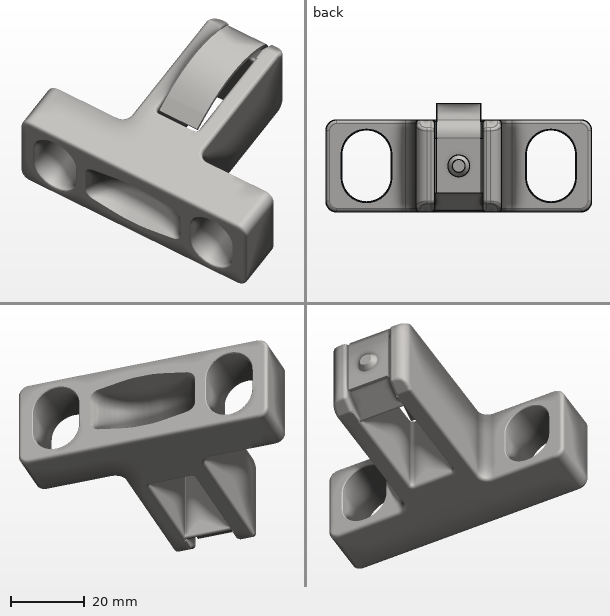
import cadquery as cq
import math


block_length = 72.0
block_depth = 15.0
height = 25.0
stem_width = 23.05
stem_end = 60.0
corner_radius = 2.95
edge_radius = 1.0
top = height / 2

pick_margin = 0.1

slope_drop = 2.45
slope_run = 3.6
slope = slope_drop / slope_run

oval_spacing = 50.0
oval_width = 13.3
oval_height = 19.45
oval_chamfer = 0.2
oval_chamfer_degrees = 45

recess_half_opening = 15.2
recess_half_flat = 1.95
recess_bow_radius = 13.25
recess_bow_angle = math.radians(69.0)
recess_half_floor = 3.5
recess_floor_radius = 2.9
recess_draft = math.radians(10.5)
recess_overrun = 2.15
recess_bow_clearance = 0.65

slot_width = 13.1
slot_start = 22.25
slot_corner_radius = 1.0
bridge_front = 51.05
bridge_corner_radius = 0.3
bridge_edge_radius = 0.5

collar_start = 52.1
collar_end = 55.7

strap_width = 12.0
strap_thickness = 1.15
strap_back = 59.7
strap_tip = 23.05
arch_radius = 32.0
arch_centre_y = 40.5
arch_rise = 4.5
arch_front_angle = math.radians(24.6)
arch_back_angle = math.radians(31.0)
head_base_diameter = 5.9
head_end_diameter = 3.45
head_height = 1.4

bridge_back = strap_back - strap_thickness
bridge_half_back = top - slope * (bridge_back - bridge_front)


def point_on_circle(centre, radius, angle):
    """Point at an angle measured from straight up, towards the first axis."""
    return (centre[0] + radius * math.sin(angle), centre[1] + radius * math.cos(angle))


def make_block():
    return (
        cq.Workplane("XZ")
        .rect(block_length, height)
        .extrude(-block_depth)
        .edges("|Y")
        .fillet(corner_radius)
    )


def make_stem():
    root = block_depth / 2
    slope_start = stem_end - slope_run
    side_outline = [
        (root, -top),
        (slope_start, -top),
        (stem_end, slope_drop - top),
        (stem_end, top - slope_drop),
        (slope_start, top),
        (root, top),
    ]
    return (
        cq.Workplane("YZ")
        .polyline(side_outline)
        .close()
        .extrude(stem_width / 2, both=True)
        .faces(">Y")
        .edges("|Z")
        .fillet(corner_radius)
    )


def edges_near(body, half_width, from_y, to_y):
    """Edges centred within a range of X and Y, with the picking margin added."""
    side = half_width + pick_margin
    low = (-side, from_y - pick_margin, -height)
    high = (side, to_y + pick_margin, height)
    return body.edges(cq.selectors.BoxSelector(low, high))


def make_tee():
    body = make_block().union(make_stem())
    inner_corners = edges_near(body, stem_width / 2, block_depth, block_depth)
    body = inner_corners.edges("|Z").fillet(corner_radius)
    return body.faces("<Y or >Y or <Z or >Z").edges("not |Z").fillet(edge_radius)


def make_slot():
    slot_length = 2 * (stem_end - slot_start)
    return (
        cq.Workplane("XY")
        .center(0, slot_start + slot_length / 2)
        .rect(slot_width, slot_length)
        .extrude(height, both=True)
        .edges("|Z")
        .fillet(slot_corner_radius)
    )


def cut_slot(body):
    """Cut the slot and round its rim above, below and at the open end."""
    body = body.cut(make_slot())
    slot_edges = edges_near(body, slot_width / 2, slot_start, stem_end)
    rim = [edge for edge in slot_edges.vals() if edge.BoundingBox().zlen < height - pick_margin]
    return body.newObject(rim).fillet(edge_radius)


def make_bridge():
    """Bar across the slot, sloped above and below; its ends reach into the walls past the rounded rim."""
    half_width = slot_width / 2 + edge_radius
    outline = [
        (bridge_front, -top),
        (bridge_back, -bridge_half_back),
        (bridge_back, bridge_half_back),
        (bridge_front, top),
    ]
    return (
        cq.Workplane("YZ")
        .polyline(outline)
        .close()
        .extrude(half_width, both=True)
        .faces("<Y")
        .edges("|X")
        .fillet(bridge_edge_radius)
    )


def add_collars(body):
    """Square up the wide slot rim beside the bridge and round it again with the smaller radius."""
    inner = slot_width / 2
    collar = (
        cq.Workplane("XY")
        .box(edge_radius, collar_end - collar_start, edge_radius, centered=False)
        .edges("|Y and <X and >Z")
        .fillet(bridge_edge_radius)
        .translate((inner, collar_start, top - edge_radius))
    )
    pair = collar.union(collar.mirror("YZ"))
    return body.union(pair).union(pair.mirror("XY"))


def round_bridge_corners(body):
    corners = edges_near(body, slot_width / 2, bridge_front, bridge_front)
    return corners.edges("|Z").fillet(bridge_corner_radius)


def cut_ovals(body):
    """Cut the oval holes and widen both ends of each by the chamfer."""

    def oval_prisms(start_y, length, margin, taper):
        return (
            cq.Workplane("XZ", origin=(0, start_y, 0))
            .pushPoints([(-oval_spacing / 2, 0), (oval_spacing / 2, 0)])
            .slot2D(oval_height + 2 * margin, oval_width + 2 * margin, 90)
            .extrude(length, taper=taper)
        )

    through = oval_prisms(block_depth, block_depth, 0, 0)
    front_mouth = oval_prisms(0, -oval_chamfer, oval_chamfer, oval_chamfer_degrees)
    back_mouth = oval_prisms(block_depth, oval_chamfer, oval_chamfer, oval_chamfer_degrees)
    return body.cut(through).cut(front_mouth).cut(back_mouth)


def make_recess():
    angle = recess_bow_angle
    arc_half_length = recess_half_flat + recess_bow_radius * math.sin(angle)
    end_depth = (recess_half_opening - arc_half_length) * math.tan(angle)
    bow_centre_y = end_depth - recess_bow_radius * math.cos(angle)

    def bow_point(side, at):
        x, y = point_on_circle((recess_half_flat, bow_centre_y), recess_bow_radius, at)
        return (side * x, y)

    end_x = recess_half_opening + recess_overrun * math.cos(angle)
    end_y = -recess_overrun * math.sin(angle)
    path = (
        cq.Workplane("XY")
        .moveTo(-end_x, end_y)
        .lineTo(*bow_point(-1, angle))
        .threePointArc(bow_point(-1, angle / 2), bow_point(-1, 0))
        .lineTo(*bow_point(1, 0))
        .threePointArc(bow_point(1, angle / 2), bow_point(1, angle))
        .lineTo(end_x, end_y)
    )

    section_depth = recess_bow_radius - recess_bow_clearance
    corner_turn = math.pi / 2 - recess_draft

    def corner_point(side, turn):
        depth = recess_floor_radius * (1 - math.cos(turn))
        return (depth, side * (recess_half_floor + recess_floor_radius * math.sin(turn)))

    wall_foot = corner_point(1, corner_turn)
    half_mouth = wall_foot[1] + (section_depth - wall_foot[0]) * math.tan(recess_draft)
    section_plane = cq.Plane(
        origin=(-end_x, end_y, 0),
        xDir=(math.sin(angle), -math.cos(angle), 0),
        normal=(math.cos(angle), math.sin(angle), 0),
    )
    return (
        cq.Workplane(section_plane)
        .moveTo(section_depth, -half_mouth)
        .lineTo(*corner_point(-1, corner_turn))
        .threePointArc(corner_point(-1, corner_turn / 2), corner_point(-1, 0))
        .lineTo(*corner_point(1, 0))
        .threePointArc(corner_point(1, corner_turn / 2), wall_foot)
        .lineTo(section_depth, half_mouth)
        .close()
        .sweep(path)
    )


def make_housing():
    body = cut_slot(make_tee())
    body = body.union(make_bridge())
    body = round_bridge_corners(body)
    body = add_collars(body)
    return cut_ovals(body).cut(make_recess())


def make_strap():
    arch_centre = (arch_centre_y, top + arch_rise - arch_radius)
    arch_inner = arch_radius - strap_thickness
    arch_end = point_on_circle(arch_centre, arch_radius, arch_back_angle)

    bend_outer = (strap_back - arch_end[0]) / (1 - math.sin(arch_back_angle))
    bend_inner = bend_outer - strap_thickness
    bend_centre = (strap_back - bend_outer, arch_end[1] - bend_outer * math.cos(arch_back_angle))
    bend_middle = (arch_back_angle + math.pi / 2) / 2

    outer_front = point_on_circle(arch_centre, arch_radius, -arch_front_angle)
    inner_front = point_on_circle(arch_centre, arch_inner, -arch_front_angle)
    front_run = outer_front[0] - strap_tip
    front_drop = front_run * math.tan(arch_front_angle)

    return (
        cq.Workplane("YZ")
        .moveTo(strap_tip, outer_front[1] - front_drop)
        .lineTo(*outer_front)
        .threePointArc(point_on_circle(arch_centre, arch_radius, 0), arch_end)
        .threePointArc(point_on_circle(bend_centre, bend_outer, bend_middle), (strap_back, bend_centre[1]))
        .lineTo(strap_back, -bridge_half_back)
        .lineTo(bridge_back, -bridge_half_back)
        .lineTo(bridge_back, bend_centre[1])
        .threePointArc(
            point_on_circle(bend_centre, bend_inner, bend_middle),
            point_on_circle(bend_centre, bend_inner, arch_back_angle),
        )
        .threePointArc(point_on_circle(arch_centre, arch_inner, 0), inner_front)
        .lineTo(inner_front[0] - front_run, inner_front[1] - front_drop)
        .close()
        .extrude(strap_width / 2, both=True)
    )


def make_rivet_head():
    """Truncated cone on the back of the strap."""
    half_profile = [
        (0, strap_back),
        (head_base_diameter / 2, strap_back),
        (head_end_diameter / 2, strap_back + head_height),
        (0, strap_back + head_height),
    ]
    return cq.Workplane("XY").polyline(half_profile).close().revolve(360, (0, 0, 0), (0, 1, 0))


def make_spring():
    return make_strap().union(make_rivet_head())


housing = make_housing()
spring = make_spring()
result = cq.Compound.makeCompound([housing.solids().val(), spring.solids().val()])